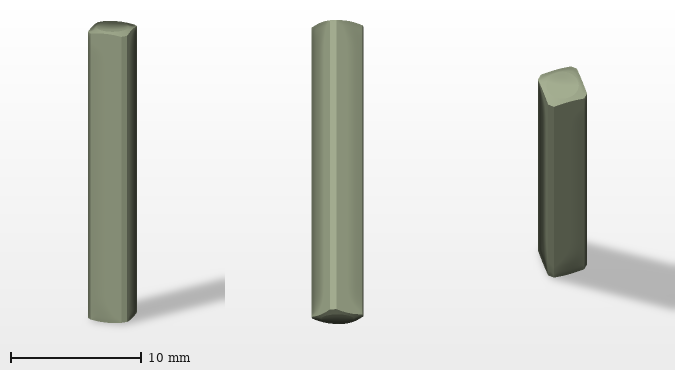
import cadquery as cq
import math

length = 23.62
width = 3.17
edge_bevel = 0.35
end_face_diameter = 2.5
end_cone_angle = 15.0


def bevelled_bar():
    bar = cq.Workplane("XY").rect(width, width).extrude(length)
    return bar.edges("|Z").chamfer(edge_bevel)


def coned_envelope():
    """Round body whose end cones trim the corners of the bar."""
    end_radius = end_face_diameter / 2
    outer_radius = width
    cone_drop = (outer_radius - end_radius) * math.tan(math.radians(end_cone_angle))
    half_profile = [
        (0, 0),
        (end_radius, 0),
        (outer_radius, cone_drop),
        (outer_radius, length - cone_drop),
        (end_radius, length),
        (0, length),
    ]
    profile = cq.Workplane("XZ").polyline(half_profile).close()
    return profile.revolve(360, (0, 0, 0), (0, 1, 0))


result = bevelled_bar().intersect(coned_envelope())